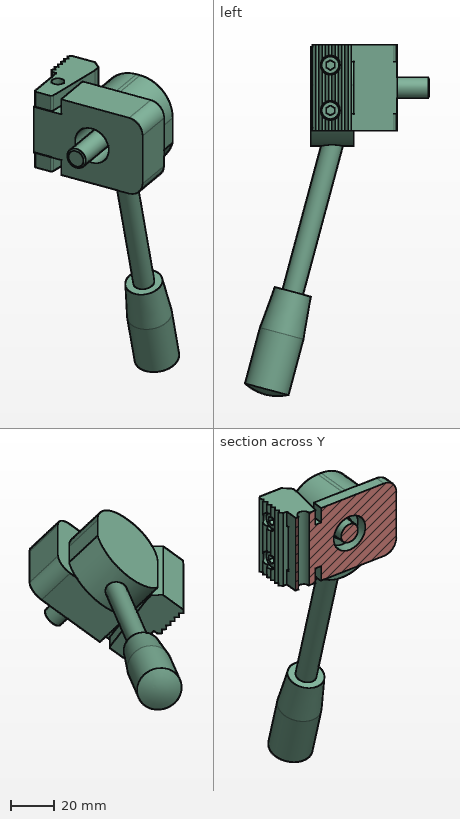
import cadquery as cq
import math


block_height = 40.0
block_depth = 20.0
block_left = -16.5
block_right = 27.1
block_corner_radius = 7.3
tongue_left = -31.2
tongue_height = 24.2
block_bore = 18

stud_diameter = 10.0
stud_length = 14.9
stud_tip_diameter = 9.0
stud_tip_length = 1.0
stud_clearance_diameter = 11.0

cam_depth = 20.0
cam_left = -17.0
cam_right = 20.2
cam_top = 19.1
cam_bottom = -27.1
cam_corner_radius = 17.6
cam_lobe_radius = 21.0

jaw_front = 0.5
jaw_back = 39.3
jaw_shoulder = 21.2
jaw_face = -33.3
jaw_toe = -21.7
jaw_heel_y = 32.3
jaw_bevel_width = 3.9
jaw_bevel_start_y = 35.8
jaw_toe_fillet = 1.0
tooth_count = 6
tooth_pitch = (jaw_back - jaw_shoulder) / tooth_count
tooth_height = 1.6
hinge_diameter = 6.0
hinge_x = -26.5
hinge_y = 14.4

screw_y = 31
screw_spacing = 21.0
screw_pocket_diameter = 9.0
screw_pocket_depth = 3.6
screw_head_diameter = 8.0
screw_head_height = 3.1
screw_socket_corners = 4.5
screw_socket_depth = 2.5

lever_tilt = 15
lever_root_y = 30.0
lever_root_z = -26.1
rod_diameter = 10.0
rod_length = 71.0
rod_embed = 9.8
grip_neck_diameter = 17.5
grip_diameter = 21.0
grip_taper_length = 19.9
grip_straight_length = 27.0
grip_dome_height = 2.6


def cylinder_y(diameter, y_start, y_end):
    return cq.Workplane("XZ", origin=(0, y_start, 0)).circle(diameter / 2).extrude(y_start - y_end)


def slab(x_start, x_end, depth, height):
    box = cq.Workplane("XY").box(x_end - x_start, depth, height, centered=(False, False, True))
    return box.translate((x_start, 0, 0))


def make_block():
    body = slab(block_left, block_right, block_depth, block_height)
    body = body.edges("|Y and >X").fillet(block_corner_radius)
    tongue = slab(tongue_left, block_left, block_depth, tongue_height)
    return body.union(tongue).cut(cylinder_y(block_bore, 0, block_depth))


def make_stud():
    tip_width = (stud_diameter - stud_tip_diameter) / 2
    stud = cylinder_y(stud_diameter, -stud_length, block_depth + cam_depth)
    return stud.faces("<Y").chamfer(tip_width, stud_tip_length)


def make_cam():
    corner_z = cam_top - cam_corner_radius
    lobe_z = cam_bottom + cam_lobe_radius
    left_end = lobe_z - math.sqrt(cam_lobe_radius**2 - cam_left**2)
    right_end = lobe_z - math.sqrt(cam_lobe_radius**2 - cam_right**2)
    diagonal = cam_corner_radius * math.sqrt(0.5)
    left_center = cam_left + cam_corner_radius
    right_center = cam_right - cam_corner_radius
    plate = (
        cq.Workplane("XZ", origin=(0, block_depth, 0))
        .moveTo(cam_left, left_end)
        .lineTo(cam_left, corner_z)
        .threePointArc((left_center - diagonal, corner_z + diagonal), (left_center, cam_top))
        .lineTo(right_center, cam_top)
        .threePointArc((right_center + diagonal, corner_z + diagonal), (cam_right, corner_z))
        .lineTo(cam_right, right_end)
        .threePointArc((0, cam_bottom), (cam_left, left_end))
        .close()
        .extrude(-cam_depth)
    )
    return plate.cut(cylinder_y(stud_clearance_diameter, block_depth, block_depth + cam_depth / 2))


def make_jaw():
    base = cq.Workplane("XY", origin=(0, 0, -block_height / 2))
    jaw = (
        base.moveTo(tongue_left, jaw_front)
        .lineTo(jaw_toe, jaw_front)
        .lineTo(cam_left, jaw_heel_y)
        .lineTo(cam_left, jaw_bevel_start_y)
        .lineTo(cam_left - jaw_bevel_width, jaw_back)
        .lineTo(jaw_face, jaw_back)
        .lineTo(jaw_face, jaw_shoulder)
        .lineTo(tongue_left, jaw_shoulder)
        .close()
        .extrude(block_height)
        .edges("|Z and <Y")
        .fillet(jaw_toe_fillet)
    )
    for index in range(tooth_count):
        y = jaw_shoulder + index * tooth_pitch
        tooth = (
            base.moveTo(jaw_face, y)
            .lineTo(jaw_face - tooth_height, y + tooth_pitch / 2)
            .lineTo(jaw_face, y + tooth_pitch)
            .close()
            .extrude(block_height)
        )
        jaw = jaw.union(tooth)
    slot = slab(tongue_left, cam_left, jaw_shoulder, tongue_height)
    return jaw.cut(slot)


def add_screws(jaw):
    pocket_floor = jaw_face + screw_pocket_depth
    for z in (-screw_spacing / 2, screw_spacing / 2):
        floor = cq.Workplane("YZ", origin=(pocket_floor, screw_y, z))
        pocket = floor.circle(screw_pocket_diameter / 2).extrude(-screw_pocket_depth - tooth_height)
        head = floor.circle(screw_head_diameter / 2).extrude(-screw_head_height)
        socket = (
            head.faces("<X")
            .workplane()
            .transformed(rotate=(0, 0, 90))
            .polygon(6, screw_socket_corners)
        )
        head = socket.cutBlind(-screw_socket_depth)
        jaw = jaw.cut(pocket).union(head)
    return jaw


def make_lever():
    grip_radius = grip_diameter / 2
    grip_end = rod_length + grip_taper_length + grip_straight_length
    dome_radius = (grip_radius**2 + grip_dome_height**2) / (2 * grip_dome_height)
    dome_mid_x = grip_radius / 2
    dome_mid_z = dome_radius - grip_end - grip_dome_height - math.sqrt(dome_radius**2 - dome_mid_x**2)
    profile = (
        cq.Workplane("XZ")
        .moveTo(0, rod_embed)
        .lineTo(rod_diameter / 2, rod_embed)
        .lineTo(rod_diameter / 2, -rod_length)
        .lineTo(grip_neck_diameter / 2, -rod_length)
        .lineTo(grip_radius, -rod_length - grip_taper_length)
        .lineTo(grip_radius, -grip_end)
        .threePointArc((dome_mid_x, dome_mid_z), (0, -grip_end - grip_dome_height))
        .close()
    )
    lever = profile.revolve(360, (0, 0, 0), (0, 1, 0))
    return lever.rotate((0, 0, 0), (1, 0, 0), lever_tilt).translate((0, lever_root_y, lever_root_z))


def make_hinge_hole():
    return (
        cq.Workplane("XY", origin=(hinge_x, hinge_y, -block_height / 2))
        .circle(hinge_diameter / 2)
        .extrude(block_height)
    )


clamp = make_block().union(add_screws(make_jaw())).cut(make_hinge_hole())
result = clamp.union(make_cam()).union(make_stud()).union(make_lever())